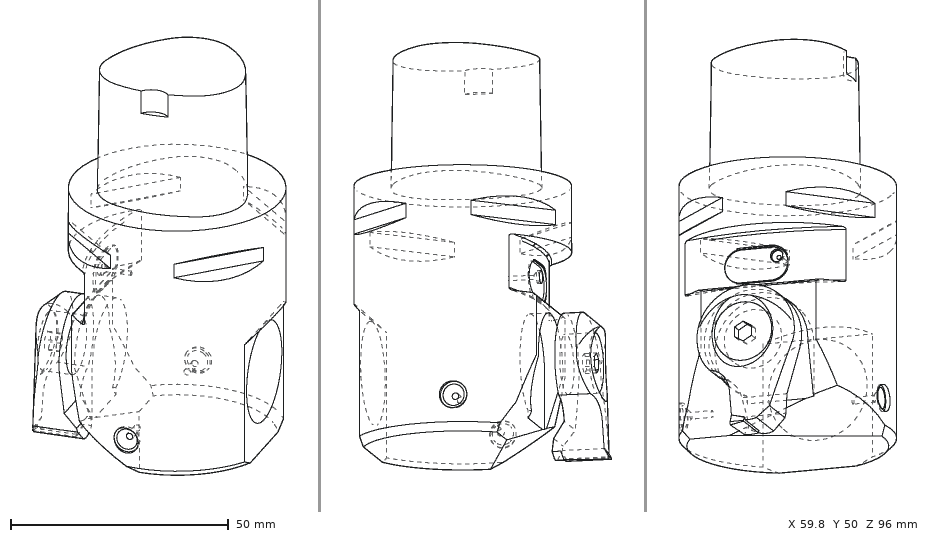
import cadquery as cq
import math


shank_height = 30.0
shank_lobe_reach = 18.4
shank_flank_reach = 16.0
lobe_center_radius = 6.9
shank_taper = 0.9
keyway_diameter = 8.1
keyway_depth = 5.6
keyway_center_y = -17.8

body_diameter = 50.0
body_radius = body_diameter / 2
body_bottom_z = -61.9
bottom_chamfer = 1.8
margin = 9.6

grip_floor_distance = 22.3
grip_center_z = -10.0
grip_floor_height = 3.4
grip_angles = (45, 135, 225, 315)
grip_flank_angle = 30.0

seat_x = -20.7
seat_top_z = -28.8
seat_edge_chamfer = 0.5
front_slope = [(seat_x, -43.2), (-17.0, -54.9), (-12.8, body_bottom_z)]

relief_point = (-1.0, -23.0, body_bottom_z)
relief_normal = (-2.78, -1.0, -4.94)

notch_top_z = -15.6
notch_floor_x = -18.5
notch_floor_radius = 67.2
notch_corner_radius = 0.6

oval_width = 8.0
oval_length = 15.5
oval_rim = 0.3
oval_center_y = 1.4
oval_center_z = -23.4
oval_floor_x = -17.7

back_flat_x = 21.2
back_ramp_top_z = -27.0

side_outlet_x = -3.6
side_outlet_z = -53.7
side_outlet_sizes = (6.2, 5.0, 1.5)
small_outlet_y = -3.4
small_outlet_z = -21.5
small_outlet_sizes = (3.0, 2.8, 1.0)
outlet_step = 0.8
outlet_depth = 7.7

head_axis_z = -42.9
recess_diameter = 24.0
recess_floor_x = -16.4
recess_slot_left_y = 4.1

head_radius = 11.8
head_back_x = -24.6
head_front_x = -34.6
heel_start_z = -56.7
heel_corner = (-22.0, -60.6)
heel_tip_x = -21.4
heel_tip_z = -64.6
neck_left_start = (8.0, -51.6)
neck_left_bend = (4.1, -53.9)
neck_left_end = (2.7, -56.8)
neck_right_start = (-11.4, -45.9)
foot_right_corner = (-6.8, -61.6)
foot_bottom_start = (-3.9, -64.4)
foot_bottom_middle = (-2.3, -64.8)
foot_bottom_end = (-1.0, -64.7)
foot_left_z = -63.6
dome_radius = 21.1
dome_crown_x = -33.3
dome_tilt = 1.8
nose_cone_x = -29.8
nose_cone_tilt = 4.3
tip_left_y = 2.0
tip_right_y = -1.2
tip_top_z = -63.4
tip_right_top_z = -64.2
tip_right_bottom_z = -65.4
overall_height = 96.0
tip_bottom_z = shank_height - overall_height
tip_side = [(-33.9, tip_top_z), (-34.8, -65.2), (-34.8, tip_bottom_z), (-24.4, -65.6), (-23.5, tip_top_z)]

screw_diameter = 13.9
screw_face_x = -31.6
hex_corner_diameter = 4.7
hex_depth = 2.9

dial_diameter = 24.0
dial_face_diameter = 11.7
dial_height = 1.5


def x_plane(x, z=head_axis_z, y=0.0):
    """Plane facing -X, with local x along -Y and local y along +Z."""
    return cq.Workplane(cq.Plane(origin=(x, y, z), xDir=(0, -1, 0), normal=(-1, 0, 0)))


def yz_outline(x):
    """Plane at X = x facing +X, with local coordinates equal to Y and Z."""
    return cq.Workplane(cq.Plane(origin=(x, 0, 0), xDir=(0, 1, 0), normal=(1, 0, 0)))


def xz_prism(points, half_width):
    """Prism of an X, Z outline, symmetric about Y = 0."""
    return cq.Workplane("XZ").polyline(points).close().extrude(half_width, both=True)


def polar(radius, degrees):
    """Point at a radius and an angle from +X."""
    angle = math.radians(degrees)
    return (radius * math.cos(angle), radius * math.sin(angle))


def shank():
    """Tapered three-lobed shank made of six tangent arcs, one lobe toward +Y."""
    lobe_radius = shank_lobe_reach - lobe_center_radius
    offset = shank_flank_reach - lobe_center_radius / 2
    half_span = lobe_center_radius * math.sqrt(3) / 2
    flank_radius = (half_span**2 + offset**2 - lobe_radius**2) / (2 * (offset - lobe_radius))
    flank_center = flank_radius - shank_flank_reach
    flank_half_angle = math.atan2(half_span, flank_center + lobe_center_radius / 2)
    joint_x = flank_radius * math.sin(flank_half_angle)
    joint_y = flank_center - flank_radius * math.cos(flank_half_angle)
    joint_radius = math.hypot(joint_x, joint_y)
    joint_angle = math.degrees(math.atan2(joint_x, -joint_y))

    outline = cq.Workplane("XY").moveTo(*polar(joint_radius, 270 - joint_angle))
    for flank_angle in (270, 390, 510):
        outline = outline.threePointArc(
            polar(shank_flank_reach, flank_angle),
            polar(joint_radius, flank_angle + joint_angle),
        )
        outline = outline.threePointArc(
            polar(shank_lobe_reach, flank_angle + 60),
            polar(joint_radius, flank_angle + 120 - joint_angle),
        )
    tapered = outline.close().extrude(shank_height, taper=shank_taper)
    keyway = (
        cq.Workplane("XY", origin=(0, keyway_center_y, shank_height - keyway_depth))
        .circle(keyway_diameter / 2)
        .extrude(keyway_depth)
    )
    return tapered.cut(keyway)


def grip_slot(angle):
    """Flat-floored slot with sloped flanks, centered on a direction around Z."""
    reach = body_radius + margin
    floor_half = grip_floor_height / 2
    mouth_half = floor_half + (reach - grip_floor_distance) * math.tan(math.radians(grip_flank_angle))
    profile = [
        (grip_floor_distance, grip_center_z - floor_half),
        (reach, grip_center_z - mouth_half),
        (reach, grip_center_z + mouth_half),
        (grip_floor_distance, grip_center_z + floor_half),
    ]
    return xz_prism(profile, body_radius).rotate((0, 0, 0), (0, 0, 1), angle)


def nose_cut():
    """Removes the seat flat and the two slopes below it."""
    outer_x = -body_radius - margin
    low_z = body_bottom_z - margin
    bottom_x = front_slope[-1][0]
    outline = [
        (outer_x, seat_top_z),
        (seat_x + seat_edge_chamfer, seat_top_z),
        (seat_x, seat_top_z - seat_edge_chamfer),
        *front_slope,
        (bottom_x, low_z),
        (outer_x, low_z),
    ]
    return xz_prism(outline, body_radius)


def relief_cut():
    """Removes everything beyond the slanted plane at the lower -Y corner."""
    plane = cq.Plane(origin=relief_point, normal=relief_normal)
    return cq.Workplane(plane).rect(4 * body_diameter, 4 * body_diameter).extrude(body_diameter)


def notch_cut():
    """Slot across the -X side with a convex floor, rounded along its top and bottom."""
    height = notch_top_z - seat_top_z
    outer_x = -body_radius - margin
    block = (
        cq.Workplane("XY", origin=(outer_x, 0, seat_top_z))
        .rect(2 * body_radius + 2 * margin, 2 * body_radius)
        .extrude(height)
    )
    floor = (
        cq.Workplane("XY", origin=(notch_floor_x + notch_floor_radius, 0, seat_top_z))
        .circle(notch_floor_radius)
        .extrude(height)
    )
    return block.cut(floor).faces("%CYLINDER").edges("%CIRCLE").fillet(notch_corner_radius)


def oval_pocket():
    """Flat-floored oval pocket with a shallow stepped rim, open toward -X."""
    place = x_plane(oval_floor_x, oval_center_z, oval_center_y)
    pocket = place.slot2D(oval_length, oval_width).extrude(margin)
    rim_x = notch_floor_x + oval_rim
    rim = (
        x_plane(rim_x, oval_center_z, oval_center_y)
        .slot2D(oval_length + 2 * oval_rim, oval_width + 2 * oval_rim)
        .extrude(margin)
    )
    return pocket.union(rim)


def coolant_outlet(origin, direction, sizes):
    """Shallow step, cone and bore, drilled from origin along direction."""
    entry, mouth, bore = [size / 2 for size in sizes]
    cone_end = outlet_step + mouth - bore
    profile = [
        (0, -margin),
        (entry, -margin),
        (entry, outlet_step),
        (mouth, outlet_step),
        (bore, cone_end),
        (bore, outlet_depth),
        (0, outlet_depth),
    ]
    drill = cq.Workplane("XZ").polyline(profile).close().revolve(360, (0, 0), (0, 1))
    plane = cq.Plane(origin=origin, normal=direction)
    return drill.val().moved(cq.Location(plane))


def head_recess():
    """Round recess in the seat, with a slot that runs out at the bottom."""
    depth = recess_floor_x - seat_x + margin
    recess_radius = recess_diameter / 2
    round_part = x_plane(recess_floor_x).circle(recess_radius).extrude(depth)
    slot_bottom = body_bottom_z - margin
    slot = (
        yz_outline(recess_floor_x)
        .moveTo(-recess_radius, head_axis_z)
        .lineTo(recess_slot_left_y, head_axis_z)
        .lineTo(recess_slot_left_y, slot_bottom)
        .lineTo(-recess_radius, slot_bottom)
        .close()
        .extrude(-depth)
    )
    return round_part.union(slot)


def back_cut():
    """Removes the +X flat with its 45 degree run-out ramp."""
    outer_x = body_radius + margin
    low_z = body_bottom_z - margin
    outline = [
        (outer_x, back_ramp_top_z + margin),
        (back_flat_x, back_ramp_top_z - (body_radius - back_flat_x)),
        (back_flat_x, low_z),
        (outer_x, low_z),
    ]
    return xz_prism(outline, body_radius)


def make_holder():
    """Cylindrical body with all its cuts, and the shank on top."""
    body = (
        cq.Workplane("XY", origin=(0, 0, body_bottom_z))
        .circle(body_radius)
        .extrude(-body_bottom_z)
        .faces("<Z")
        .chamfer(bottom_chamfer)
    )
    for angle in grip_angles:
        body = body.cut(grip_slot(angle))
    body = body.cut(nose_cut()).cut(back_cut()).cut(relief_cut())
    body = body.cut(notch_cut()).cut(oval_pocket()).cut(head_recess())
    side_y = math.sqrt(body_radius**2 - side_outlet_x**2)
    for side in (-1, 1):
        origin = (side_outlet_x, side * side_y, side_outlet_z)
        body = body.cut(cq.Workplane(coolant_outlet(origin, (0, -side, 0), side_outlet_sizes)))
    small_origin = (oval_floor_x, small_outlet_y, small_outlet_z)
    body = body.cut(cq.Workplane(coolant_outlet(small_origin, (1, 0, 0), small_outlet_sizes)))
    return body.union(shank())


def head_blank():
    """Round head with a neck and foot below it, as a straight prism along X."""
    return (
        yz_outline(heel_tip_x)
        .moveTo(*neck_left_start)
        .threePointArc((0, head_axis_z + head_radius), neck_right_start)
        .lineTo(*foot_right_corner)
        .lineTo(*foot_bottom_start)
        .threePointArc(foot_bottom_middle, foot_bottom_end)
        .lineTo(tip_left_y, foot_left_z)
        .lineTo(*neck_left_end)
        .threePointArc(neck_left_bend, neck_left_start)
        .close()
        .extrude(head_front_x - heel_tip_x)
    )


def head_back_cut():
    """Trims the back to a flat that steps out toward the heel of the foot."""
    inner_x = heel_tip_x + margin
    outline = [
        (head_back_x, head_axis_z + 2 * head_radius),
        (head_back_x, heel_start_z),
        heel_corner,
        (heel_tip_x, heel_tip_z),
        (inner_x, heel_tip_z),
        (inner_x, head_axis_z + 2 * head_radius),
    ]
    return xz_prism(outline, 2 * head_radius)


def dome():
    """Slightly tilted cylinder whose surface forms the front of the head."""
    crown = (dome_crown_x, 0, head_axis_z)
    length = 8 * head_radius
    return (
        cq.Workplane("XY", origin=(dome_crown_x + dome_radius, 0, head_axis_z - length / 2))
        .circle(dome_radius)
        .extrude(length)
        .rotate(crown, (crown[0], 1, crown[2]), dome_tilt)
    )


def upper_bevel_cut():
    """Removes what lies outside a tilted 45 degree cone above the head axis."""
    reach = 2 * head_radius
    rim = (nose_cone_x, 0, head_axis_z)
    block = (
        cq.Workplane("XY", origin=(nose_cone_x, 0, head_axis_z))
        .rect(2 * margin, 2 * reach)
        .extrude(reach)
    )
    cone = cq.Workplane(
        cq.Solid.makeCone(
            head_radius + margin, 0, head_radius + margin,
            pnt=cq.Vector(nose_cone_x + margin, 0, head_axis_z), dir=cq.Vector(-1, 0, 0),
        )
    )
    tilted_cone = cone.rotate(rim, (rim[0], 1, rim[2]), nose_cone_tilt)
    return block.cut(tilted_cone)


def cutting_tip():
    """Thin cutting edge along the lower +Y corner of the foot."""
    side = xz_prism(tip_side, head_radius)
    end = (
        yz_outline(head_back_x)
        .moveTo(tip_left_y, tip_top_z)
        .lineTo(tip_left_y, tip_bottom_z)
        .lineTo(tip_right_y, tip_right_bottom_z)
        .lineTo(tip_right_y, tip_right_top_z)
        .close()
        .extrude(2 * head_radius, both=True)
    )
    return side.intersect(end)


def screw_bore():
    """Through bore for the screw, opening into a 45 degree countersink."""
    bore = x_plane(heel_tip_x).circle(screw_diameter / 2).extrude(2 * margin)
    countersink = cq.Workplane(
        cq.Solid.makeCone(
            screw_diameter / 2, screw_diameter / 2 + margin, margin,
            pnt=cq.Vector(screw_face_x, 0, head_axis_z), dir=cq.Vector(-1, 0, 0),
        )
    )
    return bore.union(countersink)


def make_head():
    """Domed head with its neck, foot, cutting tip and screw bore."""
    head = head_blank().intersect(dome())
    head = head.cut(head_back_cut()).cut(upper_bevel_cut())
    return head.union(cutting_tip()).cut(screw_bore())


def make_screw():
    """Flush screw with a hexagon socket, points of the hexagon up and down."""
    length = head_back_x - screw_face_x
    shaft = x_plane(head_back_x).circle(screw_diameter / 2).extrude(length)
    socket = (
        x_plane(screw_face_x + hex_depth)
        .transformed(rotate=(0, 0, 90))
        .polygon(6, hex_corner_diameter)
        .extrude(hex_depth)
    )
    return shaft.cut(socket)


def make_dial():
    """Conical disc on the +X flat of the holder."""
    return cq.Workplane(
        cq.Solid.makeCone(
            dial_diameter / 2, dial_face_diameter / 2, dial_height,
            pnt=cq.Vector(back_flat_x, 0, head_axis_z), dir=cq.Vector(1, 0, 0),
        )
    )


holder = make_holder()
head = make_head()
screw = make_screw()
dial = make_dial()

result = cq.Compound.makeCompound([body.solids().val() for body in (holder, head, screw, dial)])